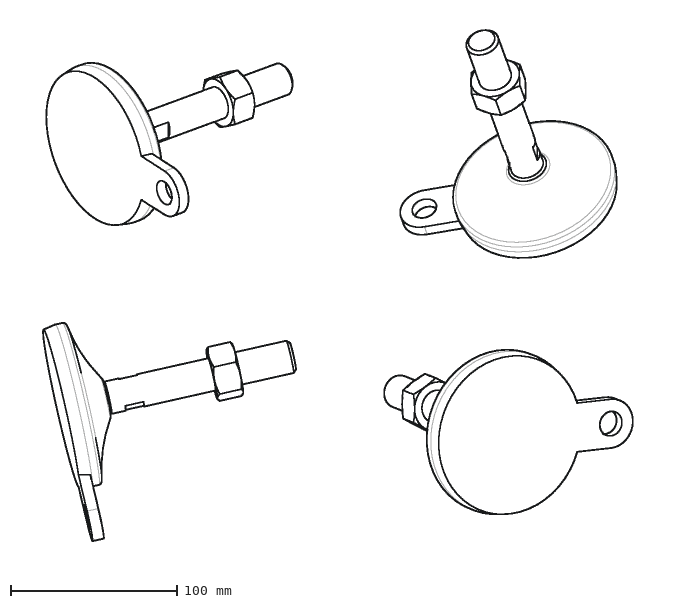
import cadquery as cq
import math

total_length = 143.0
total_width = 134.0

rim_diameter = 100.0
rim_radius = rim_diameter / 2
sole_radius = 48.5
taper_height = 7.6
rim_height = 12.0
rim_round = 2.0
cone_bottom_height = rim_height + rim_round
cone_bottom_radius = rim_radius - rim_round
cone_middle_radius = 26.2
cone_middle_height = 20.5
cone_top_radius = 13.5
cone_top_height = 27.0
disc_height = 28.0
disc_top_radius = 11.7

lug_thickness = 7.0
lug_radius = 15.0
lug_hole_diameter = 15.0
lug_center = total_width - rim_radius - lug_radius

stud_diameter = 20.0
stud_start = 29.0
stud_chamfer = 1.9
neck_diameter = 10.0

flats_width = 17.0
flats_start = 37.6
flats_length = 11.3

nut_width = 30.0
nut_start = 93.0
nut_thickness = 16.0
nut_chamfer_angle = math.radians(30)


def plane_at(height):
    """Workplane across the stud axis, with local X, Y along -X and +Z."""
    return cq.Workplane(cq.Plane(origin=(0, height, 0), xDir=(-1, 0, 0), normal=(0, 1, 0)))


def make_disc():
    """Tapered rim with a rounded shoulder and a concave cone, turned about Y."""
    round_diagonal = rim_round * math.sqrt(0.5)
    profile = (
        cq.Workplane("XY")
        .lineTo(sole_radius, 0)
        .lineTo(rim_radius, taper_height)
        .lineTo(rim_radius, rim_height)
        .threePointArc(
            (cone_bottom_radius + round_diagonal, rim_height + round_diagonal),
            (cone_bottom_radius, cone_bottom_height),
        )
        .threePointArc(
            (cone_middle_radius, cone_middle_height),
            (cone_top_radius, cone_top_height),
        )
        .lineTo(disc_top_radius, disc_height)
        .lineTo(0, disc_height)
        .close()
    )
    return profile.revolve(360, (0, 0, 0), (0, 1, 0))


def make_lug():
    """Round-ended tab reaching out along +X, with its eye hole."""
    arm = cq.Workplane("XY").box(lug_center, lug_thickness, 2 * lug_radius, centered=(False, False, True))
    end = plane_at(0).center(-lug_center, 0).circle(lug_radius).extrude(lug_thickness)
    hole = plane_at(0).center(-lug_center, 0).circle(lug_hole_diameter / 2).extrude(lug_thickness)
    return arm.union(end).cut(hole)


def make_stud():
    """Chamfered stud with two wrench flats, on a thin neck rising from the disc."""
    stud = plane_at(stud_start).circle(stud_diameter / 2).extrude(total_length - stud_start)
    stud = stud.faces(">Y").chamfer(stud_chamfer)
    for side in (-1, 1):
        cutter = plane_at(flats_start).center(side * (flats_width + stud_diameter) / 2, 0)
        stud = stud.cut(cutter.rect(stud_diameter, stud_diameter).extrude(flats_length))
    neck = plane_at(0).circle(neck_diameter / 2).extrude(stud_start)
    return stud.union(neck)


def make_nut():
    """Hexagon with flats facing +X and -X and conically chamfered corners."""
    corner_radius = nut_width / math.sqrt(3)
    face_radius = nut_width / 2
    chamfer_drop = (corner_radius - face_radius) * math.tan(nut_chamfer_angle)
    hexagon = (
        plane_at(nut_start)
        .transformed(rotate=(0, 0, 90))
        .polygon(6, 2 * corner_radius)
        .extrude(nut_thickness)
    )
    nut_end = nut_start + nut_thickness
    envelope = (
        cq.Workplane("XY")
        .moveTo(0, nut_start)
        .lineTo(face_radius, nut_start)
        .lineTo(corner_radius, nut_start + chamfer_drop)
        .lineTo(corner_radius, nut_end - chamfer_drop)
        .lineTo(face_radius, nut_end)
        .lineTo(0, nut_end)
        .close()
        .revolve(360, (0, 0, 0), (0, 1, 0))
    )
    return hexagon.intersect(envelope)


result = make_disc().union(make_lug()).union(make_stud()).union(make_nut())